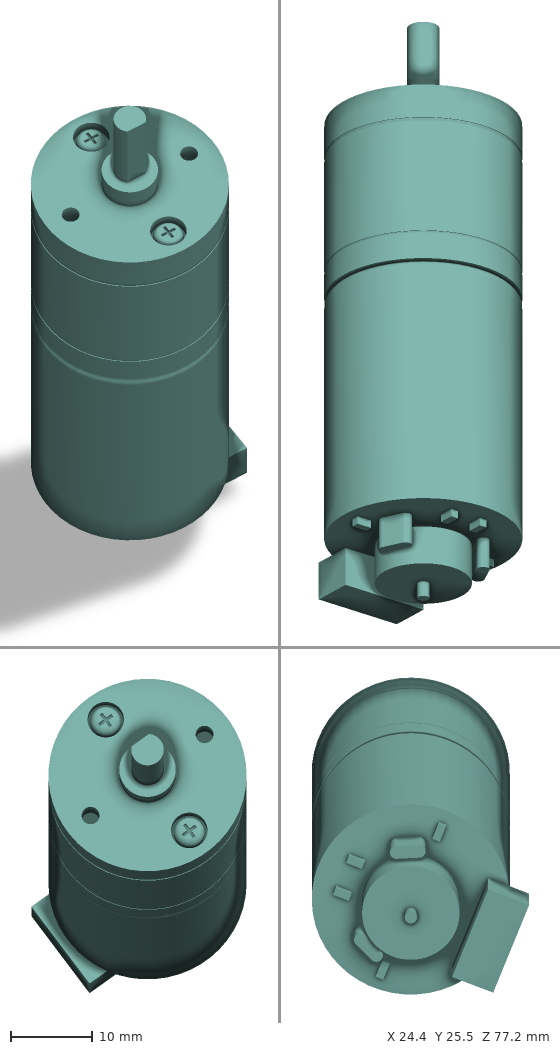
import cadquery as cq
import math

BODY_DIAMETER = 24.4

MOTOR_LENGTH = 32.5
MOTOR_TOP_FILLET = 1.2

GEARBOX_LENGTH = 23.5
GEARBOX_TOP = MOTOR_LENGTH + GEARBOX_LENGTH
GROOVE_DEPTH = 0.1
FRONT_PLATE_THICKNESS = 4.4
FRONT_GROOVE_WIDTH = 0.45
REAR_PLATE_THICKNESS = 3.5
REAR_GROOVE_WIDTH = 0.25
COLLAR_DIAMETER = 6.95
COLLAR_HEIGHT = 2.85
SHAFT_DIAMETER = 4.0
SHAFT_REACH = 13.15
SHAFT_SOCKET_DEPTH = COLLAR_HEIGHT + FRONT_PLATE_THICKNESS
SHAFT_FLAT_OFFSET = 1.5

FASTENER_CIRCLE_RADIUS = 8.7
MOUNTING_HOLE_DIAMETER = 2.2
MOUNTING_HOLE_DEPTH = 3.0
SCREW_RECESS_DIAMETER = 4.5
SCREW_RECESS_DEPTH = 1.6
SCREW_HEAD_DIAMETER = 3.8
SCREW_RIM_HEIGHT = 0.4
SCREW_HEAD_HEIGHT = 1.4
SCREW_TOP_DIAMETER = 2.0
SCREW_SLOT_WIDTH = 0.4
SCREW_SLOT_DEPTH = 0.5

REAR_SHAFT_DIAMETER = 1.5
REAR_SHAFT_REACH = 8.0
MAGNET_DIAMETER = 12.0
MAGNET_GAP = 1.0
MAGNET_THICKNESS = 5.0

CONNECTOR_WIDTH = 12.1
CONNECTOR_DEPTH = 5.45
CONNECTOR_HEIGHT = 5.0
CONNECTOR_OUTER_Y = 13.29

SENSOR_WIDTH = 4.4
SENSOR_THICKNESS = 1.6
SENSOR_HEIGHT = 4.0
SENSOR_CENTRE_RADIUS = 7.25
SENSOR_ANGLE = 24.5

PAD_LENGTH = 2.1
PAD_WIDTH = 1.0
PAD_HEIGHT = 1.0
SIDE_PAD_X = 9.5
FRONT_PAD_X = 2.2
FRONT_PAD_Y = -8.2


def cylinder(diameter, bottom, height):
    return cq.Workplane("XY").workplane(offset=bottom).circle(diameter / 2).extrude(height)


def block(x_size, y_size, height, x, y):
    """Block hanging down from the rear face of the motor."""
    return cq.Workplane("XY").center(x, y).rect(x_size, y_size).extrude(-height)


def seam_groove(bottom, width):
    ring = cylinder(BODY_DIAMETER, bottom, width)
    return ring.cut(cylinder(BODY_DIAMETER - 2 * GROOVE_DEPTH, bottom, width))


def screw_head():
    """Domed screw head with a cross slot, standing on Z = 0."""
    rim_radius = SCREW_HEAD_DIAMETER / 2
    top_radius = SCREW_TOP_DIAMETER / 2
    arc_share = math.sin(math.radians(45))
    dome_middle = (
        top_radius + (rim_radius - top_radius) * arc_share,
        SCREW_RIM_HEIGHT + (SCREW_HEAD_HEIGHT - SCREW_RIM_HEIGHT) * arc_share,
    )
    head = (
        cq.Workplane("XZ")
        .lineTo(rim_radius, 0)
        .lineTo(rim_radius, SCREW_RIM_HEIGHT)
        .threePointArc(dome_middle, (top_radius, SCREW_HEAD_HEIGHT))
        .lineTo(0, SCREW_HEAD_HEIGHT)
        .close()
        .revolve(360, (0, 0, 0), (0, 1, 0))
    )
    slot_plane = cq.Workplane("XY").workplane(offset=SCREW_HEAD_HEIGHT)
    for x_size, y_size in ((SCREW_TOP_DIAMETER, SCREW_SLOT_WIDTH), (SCREW_SLOT_WIDTH, SCREW_TOP_DIAMETER)):
        head = head.cut(slot_plane.rect(x_size, y_size).extrude(-SCREW_SLOT_DEPTH))
    return head


def build_gearbox():
    gearbox = cylinder(BODY_DIAMETER, MOTOR_LENGTH, GEARBOX_LENGTH)
    front_groove_bottom = GEARBOX_TOP - FRONT_PLATE_THICKNESS - FRONT_GROOVE_WIDTH
    gearbox = gearbox.cut(seam_groove(front_groove_bottom, FRONT_GROOVE_WIDTH))
    gearbox = gearbox.cut(seam_groove(MOTOR_LENGTH + REAR_PLATE_THICKNESS, REAR_GROOVE_WIDTH))

    gearbox = gearbox.union(cylinder(COLLAR_DIAMETER, GEARBOX_TOP, COLLAR_HEIGHT))
    socket_bottom = GEARBOX_TOP + COLLAR_HEIGHT - SHAFT_SOCKET_DEPTH
    gearbox = gearbox.cut(cylinder(SHAFT_DIAMETER, socket_bottom, SHAFT_SOCKET_DEPTH))

    hole_bottom = GEARBOX_TOP - MOUNTING_HOLE_DEPTH
    recess_bottom = GEARBOX_TOP - SCREW_RECESS_DEPTH
    for side in (-1, 1):
        offset = side * FASTENER_CIRCLE_RADIUS
        hole = cylinder(MOUNTING_HOLE_DIAMETER, hole_bottom, MOUNTING_HOLE_DEPTH)
        gearbox = gearbox.cut(hole.translate((0, offset, 0)))
        recess = cylinder(SCREW_RECESS_DIAMETER, recess_bottom, SCREW_RECESS_DEPTH)
        gearbox = gearbox.cut(recess.translate((offset, 0, 0)))
        gearbox = gearbox.union(screw_head().translate((offset, 0, recess_bottom)))
    return gearbox


def hall_sensor(direction):
    """Sensor with its broad side square to a radius at the given angle from +X."""
    sensor = (
        cq.Workplane("XY")
        .center(SENSOR_CENTRE_RADIUS, 0)
        .slot2D(SENSOR_WIDTH, SENSOR_THICKNESS, 90)
        .extrude(-SENSOR_HEIGHT)
    )
    return sensor.rotate((0, 0, 0), (0, 0, 1), direction)


def build_motor():
    motor = cylinder(BODY_DIAMETER, 0, MOTOR_LENGTH).faces(">Z").edges().fillet(MOTOR_TOP_FILLET)
    motor = motor.union(cylinder(REAR_SHAFT_DIAMETER, -REAR_SHAFT_REACH, REAR_SHAFT_REACH))
    motor = motor.union(cylinder(MAGNET_DIAMETER, -MAGNET_GAP - MAGNET_THICKNESS, MAGNET_THICKNESS))

    connector_y = CONNECTOR_OUTER_Y - CONNECTOR_DEPTH / 2
    motor = motor.union(block(CONNECTOR_WIDTH, CONNECTOR_DEPTH, CONNECTOR_HEIGHT, 0, connector_y))
    for direction in (180 + SENSOR_ANGLE, -SENSOR_ANGLE):
        motor = motor.union(hall_sensor(direction))
    for side in (-1, 1):
        motor = motor.union(block(PAD_LENGTH, PAD_WIDTH, PAD_HEIGHT, side * SIDE_PAD_X, 0))
        motor = motor.union(block(PAD_WIDTH, PAD_LENGTH, PAD_HEIGHT, side * FRONT_PAD_X, FRONT_PAD_Y))
    return motor


def build_output_shaft():
    """Shaft that is round inside its socket and D-shaped above the collar."""
    collar_top = GEARBOX_TOP + COLLAR_HEIGHT
    d_length = SHAFT_REACH - COLLAR_HEIGHT
    beyond_flat = (
        cq.Workplane("XY")
        .workplane(offset=collar_top)
        .center(SHAFT_FLAT_OFFSET + SHAFT_DIAMETER / 2, 0)
        .rect(SHAFT_DIAMETER, SHAFT_DIAMETER)
        .extrude(d_length)
    )
    shaft = cylinder(SHAFT_DIAMETER, collar_top - SHAFT_SOCKET_DEPTH, SHAFT_SOCKET_DEPTH + d_length)
    return shaft.cut(beyond_flat)


gearmotor = build_gearbox().union(build_motor())
output_shaft = build_output_shaft()
result = cq.Compound.makeCompound([gearmotor.solids().val(), output_shaft.solids().val()])